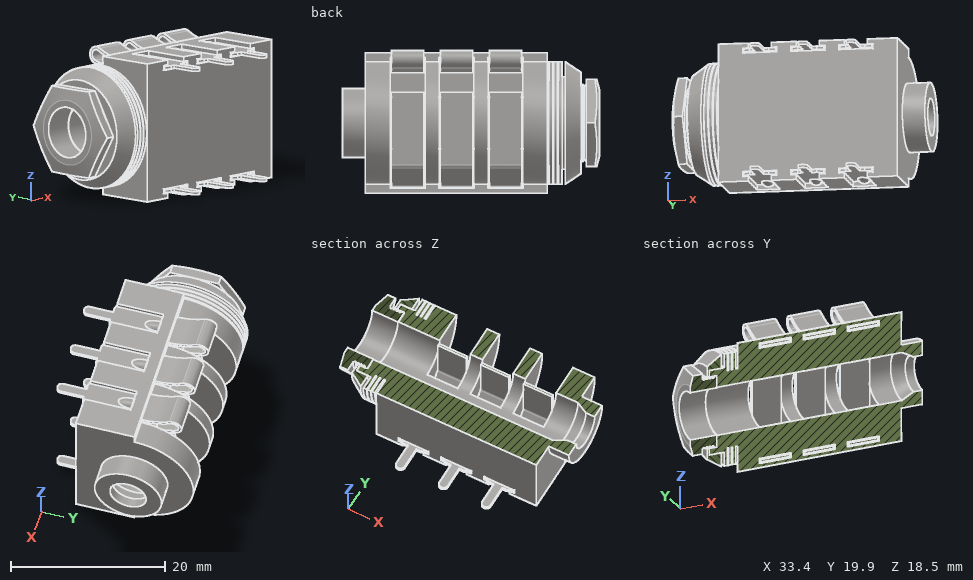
import cadquery as cq
import math


block_length = 23.62
block_depth = 7.87
block_height = 18.2
barrel_dia = 15.9
window_width = 4.5
contact_count = 3
first_contact_x = 5.45
contact_pitch = 6.35

nose_neck_dia = 11.0
flange_gap = 0.2
ring_count = 3
ring_thickness = 0.5
ring_gap = 0.1
spigot_dia = 12.0
tail_dia = 9.0
tail_length = 2.97
bore_dia = 6.7
tip_hole_dia = 4.87
bore_taper_length = 1.67

panel_gap = 0.4
bezel_length = 2.07
bezel_front_dia = 13.15
bezel_lip = 0.35

nut_bore_dia = 6.6
nut_length = 3.8
hex_sides = 6
hex_across_flats = 11.35
hex_length = 1.77
hex_gap = 0.65
nut_face_dia = 8.5
nut_face_angle = 15.0
thread_dia = 10.0
thread_depth = 0.25
thread_pitch = 0.45

strip_width = 4.2
strip_thickness = 0.4
strip_height = 8.15
slot_height = 0.65
recess_width = 3.0
recess_start = 1.65
shoulder_drop = 0.3
shoulder_half_width = 1.25
pin_width = 1.25
pin_reach = 11.9
barb_dia = 2.0
barb_rise = 0.45
barb_length = 2.05
barb_sweep = 40.0

loop_radius = 0.95
loop_y = 4.27
loop_z = 8.27
loop_leg_slope = 15.0
loop_leg_length = 2.67

bend_radius = 0.4
bend_angle = 45.0
blade_y = 2.75
blade_top = 4.0

flange_length = ring_count * ring_thickness + (ring_count - 1) * ring_gap
flange_front = -flange_gap - flange_length
bezel_back = flange_front - panel_gap
bezel_front = bezel_back - bezel_length
spigot_front = bezel_front + bezel_lip
hex_back = bezel_front - hex_gap
nut_front = hex_back - hex_length
nut_back = nut_front + nut_length
contact_xs = [first_contact_x + i * contact_pitch for i in range(contact_count)]


def disc(x, length, diameter):
    """Cylinder along X that starts at x."""
    return cq.Workplane("YZ", origin=(x, 0, 0)).circle(diameter / 2).extrude(length)


def frustum(x, length, start_dia, end_dia):
    """Cone along X from start_dia at x to end_dia at x + length."""
    return cq.Workplane(
        cq.Solid.makeCone(start_dia / 2, end_dia / 2, length, cq.Vector(x, 0, 0), cq.Vector(1, 0, 0))
    )


def box(x_center, width, y_low, y_high, z_low, z_high):
    """Box centred on x_center and spanning the given Y and Z ranges."""
    return cq.Workplane("XY").box(width, y_high - y_low, z_high - z_low).translate(
        (x_center, (y_low + y_high) / 2, (z_low + z_high) / 2)
    )


def mirrored_down(body):
    return body.mirror("XY")


def make_contact_pocket(x):
    """Slot for one contact strip, with the open recess that clears its barb."""
    slot = box(
        x, window_width, -block_depth, 0, strip_height - slot_height / 2, strip_height + slot_height / 2
    )
    recess = box(x, recess_width, -block_depth, -recess_start, strip_height, block_height / 2)
    return slot.union(recess)


def make_housing():
    barrel = disc(0, block_length, barrel_dia)
    barrel_radius = barrel_dia / 2
    barrel = barrel.cut(
        box(block_length / 2, block_length, -barrel_radius, 0, -barrel_radius, barrel_radius)
    )
    for x in contact_xs:
        barrel = barrel.cut(box(x, window_width, 0, barrel_radius, -barrel_radius, barrel_radius))

    block = box(
        block_length / 2, block_length, -block_depth, 0, -block_height / 2, block_height / 2
    )
    body = block.union(barrel)

    body = body.union(disc(flange_front, -flange_front, nose_neck_dia))
    for i in range(ring_count):
        ring_x = flange_front + i * (ring_thickness + ring_gap)
        body = body.union(disc(ring_x, ring_thickness, barrel_dia))
    body = body.union(disc(spigot_front, flange_front - spigot_front, spigot_dia))

    body = body.union(disc(block_length, tail_length, tail_dia))

    body = body.cut(disc(spigot_front, nut_back - spigot_front, thread_dia))
    body = body.cut(disc(nut_back, block_length - nut_back, bore_dia))
    body = body.cut(frustum(block_length, bore_taper_length, bore_dia, tip_hole_dia))
    body = body.cut(disc(block_length, tail_length, tip_hole_dia))

    for x in contact_xs:
        pocket = make_contact_pocket(x)
        body = body.cut(pocket).cut(mirrored_down(pocket))
    return body


def make_bezel():
    ring = frustum(bezel_front, bezel_length, bezel_front_dia, barrel_dia)
    ring = ring.cut(disc(bezel_front, bezel_lip, thread_dia))
    return ring.cut(disc(spigot_front, bezel_back - spigot_front, spigot_dia))


def make_nut():
    hex_corner_dia = hex_across_flats / math.cos(math.pi / hex_sides)
    head = cq.Workplane("YZ", origin=(nut_front, 0, 0)).polygon(hex_sides, hex_corner_dia).extrude(hex_length)

    face_growth = 2 * hex_length / math.tan(math.radians(nut_face_angle))
    head = head.intersect(frustum(nut_front, hex_length, nut_face_dia, nut_face_dia + face_growth))

    crest = thread_dia / 2
    root = crest - thread_depth
    shank = disc(hex_back, nut_back - hex_back, thread_dia)
    groove_count = int((nut_back - hex_back) / thread_pitch)
    for i in range(groove_count):
        start = hex_back + i * thread_pitch
        groove = (
            cq.Workplane("XY")
            .polyline([(start, crest), (start + thread_pitch / 2, root), (start + thread_pitch, crest)])
            .close()
            .revolve(360, (0, 0, 0), (1, 0, 0))
        )
        shank = shank.cut(groove)
    return head.union(shank).cut(disc(nut_front, nut_length, nut_bore_dia))


def make_terminal(x):
    """Flat end of a contact: sloped shoulders, solder pin and locking barb."""
    half_strip = strip_width / 2
    half_pin = pin_width / 2
    shoulder_y = -block_depth - shoulder_drop
    pin_straight_y = -pin_reach + half_pin
    plate = (
        cq.Workplane("XY", origin=(x, 0, strip_height - strip_thickness / 2))
        .moveTo(-half_strip, -recess_start)
        .lineTo(-half_strip, -block_depth)
        .lineTo(-shoulder_half_width, shoulder_y)
        .lineTo(-half_pin, shoulder_y)
        .lineTo(-half_pin, pin_straight_y)
        .threePointArc((0, -pin_reach), (half_pin, pin_straight_y))
        .lineTo(half_pin, shoulder_y)
        .lineTo(shoulder_half_width, shoulder_y)
        .lineTo(half_strip, -block_depth)
        .lineTo(half_strip, -recess_start)
        .close()
        .extrude(strip_thickness)
    )

    crest_z = strip_height + strip_thickness / 2 + barb_rise
    crest_radius = (barb_length**2 + barb_rise**2) / (2 * barb_rise)
    section_drop = crest_radius - barb_dia / 2
    barb = (
        cq.Workplane("XZ", origin=(x, -recess_start, crest_z - barb_dia / 2))
        .circle(barb_dia / 2)
        .revolve(barb_sweep, (0, -section_drop, 0), (1, -section_drop, 0))
        .intersect(box(x, barb_dia, -block_depth, -recess_start, strip_height, crest_z))
    )
    return plate.union(barb)


def sweep_strip(path, x):
    """Sweep the strip section along a path of Y-Z points that starts at the terminal plate."""
    section = cq.Workplane("XZ", origin=(x, -recess_start, strip_height)).rect(strip_width, strip_thickness)
    return section.sweep(path)


def strip_path(x):
    """Start of a strip centre line; local coordinates are Y and Z."""
    return cq.Workplane("YZ", origin=(x, 0, 0)).moveTo(-recess_start, strip_height)


def make_loop_contact(x):
    """Upper contact: rises out of the slot and folds back in a round loop."""
    loop_offset = loop_z - strip_height
    rise_radius = (loop_y**2 + loop_offset**2 - loop_radius**2) / (2 * (loop_radius + loop_offset))
    join_angle = math.asin(loop_y / (rise_radius + loop_radius))
    half_join = join_angle / 2
    leg_angle = math.radians(loop_leg_slope)

    rise_middle = (
        rise_radius * math.sin(half_join),
        strip_height + rise_radius * (1 - math.cos(half_join)),
    )
    join = (
        loop_y - loop_radius * math.sin(join_angle),
        loop_z + loop_radius * math.cos(join_angle),
    )
    leg_start = (
        loop_y + loop_radius * math.sin(leg_angle),
        loop_z - loop_radius * math.cos(leg_angle),
    )
    leg_end = (
        leg_start[0] - loop_leg_length * math.cos(leg_angle),
        leg_start[1] - loop_leg_length * math.sin(leg_angle),
    )
    path = (
        strip_path(x)
        .lineTo(0, strip_height)
        .threePointArc(rise_middle, join)
        .threePointArc((loop_y + loop_radius, loop_z), leg_start)
        .lineTo(*leg_end)
    )
    return make_terminal(x).union(sweep_strip(path, x))


def make_blade_contact(x):
    """Lower contact, built upside down: bends into the bore and ends in an upright blade."""
    angle = math.radians(bend_angle)
    bend_y = bend_radius * math.sin(angle)
    bend_z = bend_radius * (1 - math.cos(angle))
    half_y = bend_radius * math.sin(angle / 2)
    half_z = bend_radius * (1 - math.cos(angle / 2))

    slope_end_y = blade_y - bend_radius * (1 - math.sin(angle))
    slope_end_z = strip_height - bend_z - (slope_end_y - bend_y) * math.tan(angle)
    upright_z = slope_end_z - bend_radius * math.cos(angle)
    path = (
        strip_path(x)
        .lineTo(0, strip_height)
        .threePointArc((half_y, strip_height - half_z), (bend_y, strip_height - bend_z))
        .lineTo(slope_end_y, slope_end_z)
        .tangentArcPoint((blade_y, upright_z), relative=False)
        .lineTo(blade_y, -blade_top)
    )
    return mirrored_down(make_terminal(x).union(sweep_strip(path, x)))


housing = make_housing()
bezel = make_bezel()
nut = make_nut()
loop_contacts = [make_loop_contact(x) for x in contact_xs]
blade_contacts = [make_blade_contact(x) for x in contact_xs]

result = cq.Compound.makeCompound(
    [
        housing.val(),
        bezel.val(),
        nut.val(),
        *[contact.val() for contact in loop_contacts],
        *[contact.val() for contact in blade_contacts],
    ]
)